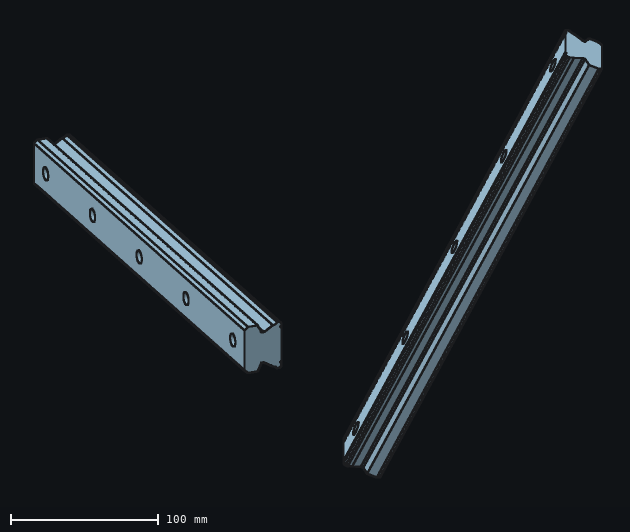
import cadquery as cq

length = 360.0
depth = 27.5
height = 34.0

chamfer_depth = 2.5
chamfer_height = 2.0

groove_front_y = -4.0
groove_floor_front_y = -1.0
groove_floor_back_y = 0.7
groove_floor_drop = 5.8
groove_slope_end_y = 7.2
groove_slope_end_drop = 1.8

lip_front_y = 10.5
hollow_sag = 0.5
lip_chamfer = 1.5

notch_drop = 4.0
notch_width = 1.5
notch_depth = 0.7

hole_count = 5
hole_diameter = 9.0
hole_pitch = 80.0

half_depth = depth / 2
half_height = height / 2
notch_z = half_height - notch_drop


def make_half_rail():
    """Upper half of the rail, its YZ section extruded along X."""
    return (
        cq.Workplane("YZ", origin=(-length / 2, 0, 0))
        .moveTo(-half_depth, 0)
        .lineTo(-half_depth, half_height - chamfer_height)
        .lineTo(-half_depth + chamfer_depth, half_height)
        .lineTo(groove_front_y, half_height)
        .lineTo(groove_floor_front_y, half_height - groove_floor_drop)
        .lineTo(groove_floor_back_y, half_height - groove_floor_drop)
        .lineTo(groove_slope_end_y, half_height - groove_slope_end_drop)
        .sagittaArc((lip_front_y, half_height), -hollow_sag)
        .lineTo(half_depth - lip_chamfer, half_height)
        .lineTo(half_depth, half_height - lip_chamfer)
        .lineTo(half_depth, notch_z + notch_width / 2)
        .lineTo(half_depth - notch_depth, notch_z)
        .lineTo(half_depth, notch_z - notch_width / 2)
        .lineTo(half_depth, 0)
        .close()
        .extrude(length)
    )


def make_holes():
    """Straight through holes running along Y."""
    return (
        cq.Workplane("XZ", origin=(0, half_depth, 0))
        .rarray(hole_pitch, 3.5, hole_count, 1)
        .circle(hole_diameter / 2)
        .extrude(depth)
    )


upper_half = make_half_rail()
rail = upper_half.union(upper_half.mirror("XY")).clean()
result = rail.cut(make_holes())